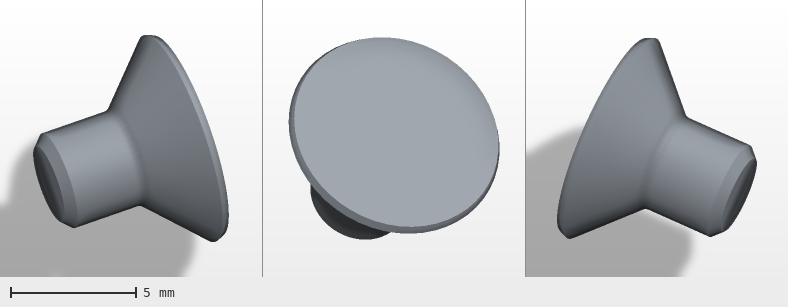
import cadquery as cq
import math

head_radius = 4.37
shank_radius = 4.0 / 2
total_length = 6.0
rim_height = 0.33
rim_inset = 0.14
neck_fillet = 0.45
tip_chamfer = 0.4

cone_angle = math.radians(45)
tip_y = -total_length
cone_start_y = -rim_height

corner_y = cone_start_y - (head_radius - shank_radius) / math.tan(cone_angle)
blend_end_y = corner_y - neck_fillet * math.tan(cone_angle / 2)
blend_center_radius = shank_radius + neck_fillet


def blend_point(angle):
    """Point on the neck blend, turned by angle from where it leaves the shank."""
    return (
        blend_center_radius - neck_fillet * math.cos(angle),
        blend_end_y + neck_fillet * math.sin(angle),
    )


half_section = (
    cq.Workplane("XY")
    .moveTo(0, 0)
    .lineTo(head_radius - rim_inset, 0)
    .lineTo(head_radius, cone_start_y)
    .lineTo(*blend_point(cone_angle))
    .threePointArc(blend_point(cone_angle / 2), blend_point(0))
    .lineTo(shank_radius, tip_y + tip_chamfer)
    .lineTo(shank_radius - tip_chamfer, tip_y)
    .lineTo(0, tip_y)
    .close()
)

result = half_section.revolve(360, (0, 0, 0), (0, 1, 0))